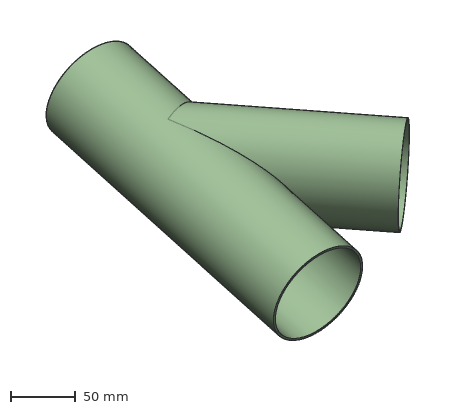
import cadquery as cq
import math

run_length = 276.0
outer_diameter = 89.0
bore_diameter = 85.0
branch_angle = 45.0
branch_length = 182.5
junction_from_end = 93.8

run_start = cq.Vector(-junction_from_end, 0, 0)
run_direction = cq.Vector(1, 0, 0)
junction = cq.Vector(0, 0, 0)
branch_direction = cq.Vector(
    math.cos(math.radians(branch_angle)),
    math.sin(math.radians(branch_angle)),
    0,
)


def run_cylinder(diameter):
    """Round bar along the whole straight run."""
    solid = cq.Solid.makeCylinder(diameter / 2, run_length, run_start, run_direction)
    return cq.Workplane(obj=solid)


def branch_cylinder(diameter):
    """Round bar from the meeting point of the axes to the branch end."""
    solid = cq.Solid.makeCylinder(diameter / 2, branch_length, junction, branch_direction)
    return cq.Workplane(obj=solid)


body = run_cylinder(outer_diameter).union(branch_cylinder(outer_diameter))
result = body.cut(run_cylinder(bore_diameter)).cut(branch_cylinder(bore_diameter))